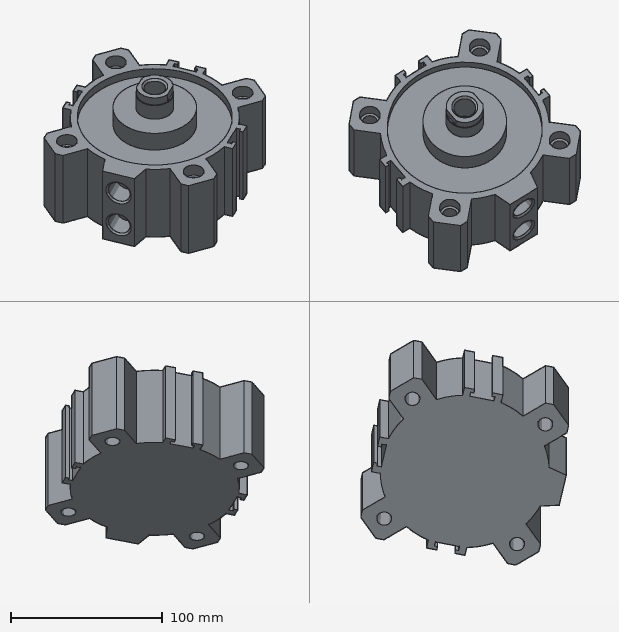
import cadquery as cq
import math

side = 120.0
half_side = side / 2
overall_depth = 126.0
body_height = 57.0
body_radius = 55.7
port_face_y = half_side - overall_depth

recess_diameter = 102.0
recess_depth = 6.0
recess_floor_z = body_height - recess_depth
collar_diameter = 55.0
collar_top_z = 64.9

lug_width = 26.0
lug_reach = 75.7
bolt_offset = 44.7
bolt_diameter = 9.7
bolt_recess_diameter = 13.5
bolt_recess_depth = 8.5

pad_width = lug_width
slot_mouth_width = 12.1
slot_inner_width = 16.3
slot_lip = 2.6
slot_depth = 5.5
pad_angles = (0, 90, 180)

port_face_width = 22.4
port_block_taper = 15
port_diameter = 15.2
port_chamfer = 1.3
port_depth = 15.1
port_spacing = 26.7

rod_diameter = 25.0
rod_top_z = 82.5
rod_bottom_z = recess_floor_z
rod_shoulder_z = 76.4
rod_neck_diameter = 24.3
flat_width = 21.9
flat_height = 5.5
rod_hole_diameter = 14.2
rod_hole_depth = 22.7
rod_hole_chamfer = 1.4
drill_angle = 118


def cylinder(diameter, bottom_z, top_z):
    """Cylinder on the Z axis."""
    return cq.Workplane("XY", origin=(0, 0, bottom_z)).circle(diameter / 2).extrude(top_z - bottom_z)


def make_lugs():
    """Two crossed diagonal bars, trimmed by the square to leave chamfered lugs."""
    square = cq.Workplane("XY").rect(side, side).extrude(body_height)
    bar = cq.Workplane("XY").rect(2 * lug_reach, lug_width).extrude(body_height)
    cross = bar.rotate((0, 0, 0), (0, 0, 1), 45).union(bar.rotate((0, 0, 0), (0, 0, 1), -45))
    return cross.intersect(square)


def make_pad(angle):
    """Rectangular pad reaching from the axis to the side of the square."""
    pad = cq.Workplane("XY").rect(half_side, pad_width).extrude(body_height)
    return pad.translate((half_side / 2, 0, 0)).rotate((0, 0, 0), (0, 0, 1), angle)


def make_slot(angle):
    """T-slot cut: a narrow mouth with a wider channel behind the lips."""
    slot_floor = half_side - slot_depth
    lip_inside = half_side - slot_lip
    mouth_half = slot_mouth_width / 2
    inner_half = slot_inner_width / 2
    slot = (
        cq.Workplane("XY")
        .moveTo(half_side, -mouth_half)
        .lineTo(lip_inside, -mouth_half)
        .lineTo(lip_inside, -inner_half)
        .lineTo(slot_floor, -inner_half)
        .lineTo(slot_floor, inner_half)
        .lineTo(lip_inside, inner_half)
        .lineTo(lip_inside, mouth_half)
        .lineTo(half_side, mouth_half)
        .close()
        .extrude(body_height)
    )
    return slot.rotate((0, 0, 0), (0, 0, 1), angle)


def make_port_block():
    """Block that widens from the port face into the round body."""
    root_y = -recess_diameter / 2
    face_half = port_face_width / 2
    root_half = face_half + (root_y - port_face_y) * math.tan(math.radians(port_block_taper))
    outline = [(-face_half, port_face_y), (face_half, port_face_y), (root_half, root_y), (-root_half, root_y)]
    return cq.Workplane("XY").polyline(outline).close().extrude(body_height)


def make_port(center_z):
    """Flat-bottomed port with a chamfered mouth, entering along +Y."""
    radius = port_diameter / 2
    half_section = [
        (0, 0),
        (radius + port_chamfer, 0),
        (radius, port_chamfer),
        (radius, port_depth),
        (0, port_depth),
    ]
    port = cq.Workplane("XY").polyline(half_section).close().revolve(360, (0, 0), (0, 1))
    return port.translate((0, port_face_y, center_z))


def make_bolt_cuts():
    """Four counterbored through holes in the lugs."""
    centers = [(x, y) for x in (-bolt_offset, bolt_offset) for y in (-bolt_offset, bolt_offset)]
    through = cq.Workplane("XY").pushPoints(centers).circle(bolt_diameter / 2).extrude(body_height)
    recess_plane = cq.Workplane("XY", origin=(0, 0, body_height - bolt_recess_depth))
    recesses = recess_plane.pushPoints(centers).circle(bolt_recess_diameter / 2).extrude(bolt_recess_depth)
    return through.union(recesses)


def make_housing():
    """Cylinder housing with its guide collar and a socket for the rod."""
    housing = cylinder(2 * body_radius, 0, body_height).union(make_lugs()).union(make_port_block())
    for angle in pad_angles:
        housing = housing.union(make_pad(angle)).cut(make_slot(angle))
    housing = housing.cut(cylinder(recess_diameter, recess_floor_z, body_height))
    housing = housing.union(cylinder(collar_diameter, recess_floor_z, collar_top_z))
    housing = housing.cut(make_bolt_cuts())
    for side_sign in (-1, 1):
        housing = housing.cut(make_port(body_height / 2 + side_sign * port_spacing / 2))
    return housing.cut(cylinder(rod_diameter, rod_bottom_z, collar_top_z))


def make_rod_hole():
    """Blind drilled hole from the rod top, with a chamfered mouth and a conical end."""
    radius = rod_hole_diameter / 2
    end_z = rod_top_z - rod_hole_depth
    tip_z = end_z - radius / math.tan(math.radians(drill_angle / 2))
    half_section = [
        (0, rod_top_z),
        (radius + rod_hole_chamfer, rod_top_z),
        (radius, rod_top_z - rod_hole_chamfer),
        (radius, end_z),
        (0, tip_z),
    ]
    return cq.Workplane("XZ").polyline(half_section).close().revolve(360, (0, 0), (0, 1))


def make_rod():
    """Rod with a chamfered shoulder, two wrench flats and a drilled end."""
    shoulder_chamfer = (rod_diameter - rod_neck_diameter) / 2
    rod = cylinder(rod_diameter, rod_bottom_z, rod_shoulder_z + shoulder_chamfer)
    rod = rod.faces(">Z").edges().chamfer(shoulder_chamfer)
    rod = rod.union(cylinder(rod_neck_diameter, rod_shoulder_z, rod_top_z))
    flat_plane = cq.Workplane("XY", origin=(0, 0, rod_top_z - flat_height))
    flats = flat_plane.rect(2 * rod_diameter, rod_diameter).rect(flat_width, rod_diameter).extrude(flat_height)
    return rod.cut(flats).cut(make_rod_hole())


housing = make_housing()
rod = make_rod()
result = cq.Compound.makeCompound([housing.val(), rod.val()])